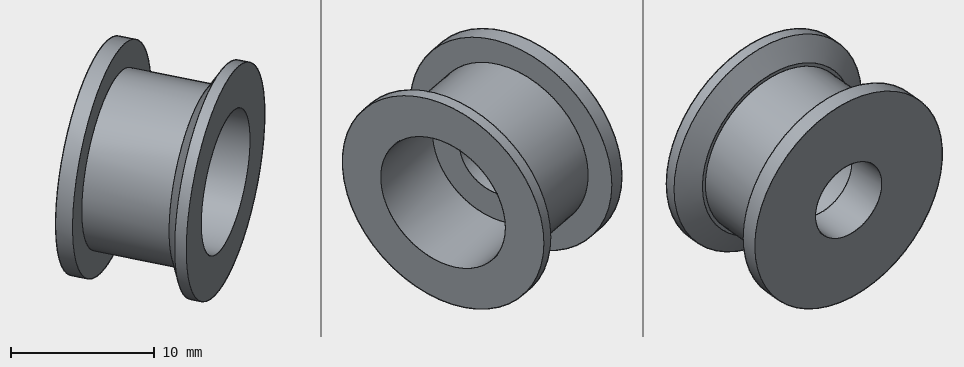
import cadquery as cq

outer_diameter = 17.0
barrel_diameter = 13.0
cone_small_diameter = 13.53
bore_diameter = 6.0
counterbore_diameter = 10.5

total_length = 9.6
flange_width = 1.25
cone_length = 1.0
rim_width = 0.85
bore_length = 3.25

rim_start = total_length - rim_width
cone_start = rim_start - cone_length

outer_radius = outer_diameter / 2
barrel_radius = barrel_diameter / 2
cone_small_radius = cone_small_diameter / 2
bore_radius = bore_diameter / 2
counterbore_radius = counterbore_diameter / 2

half_section = (
    cq.Workplane("XY")
    .moveTo(0, bore_radius)
    .lineTo(0, outer_radius)
    .lineTo(flange_width, outer_radius)
    .lineTo(flange_width, barrel_radius)
    .lineTo(cone_start, barrel_radius)
    .lineTo(cone_start, cone_small_radius)
    .lineTo(rim_start, outer_radius)
    .lineTo(total_length, outer_radius)
    .lineTo(total_length, counterbore_radius)
    .lineTo(bore_length, counterbore_radius)
    .lineTo(bore_length, bore_radius)
    .close()
)

result = half_section.revolve(360, (0, 0, 0), (1, 0, 0))